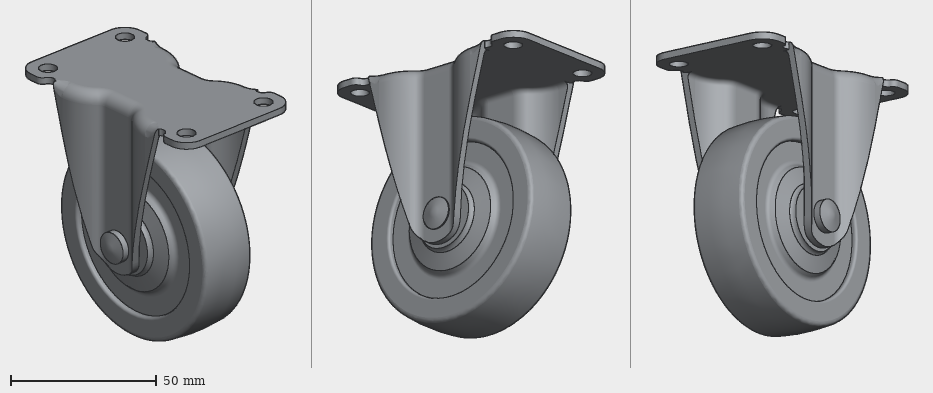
import cadquery as cq
import math


overall_height = 93
wheel_radius = 37.5
sheet = 2.5
axle_radius = 4.0

plate_length = 85.0
plate_width = 51.0
plate_corner_radius = 7.0
hole_radius = 3.3
hole_x = 35.0
hole_y = 18.0
tab_round_radius = 2.5
tab_round_x = 32.5
notch_radius = 2.3
notch_y = 24.5

leg_inner_y = 15.5
leg_outer_y = leg_inner_y + sheet
flat_half_width = 5.8
hollow_radius = 4.1
crest_radius = 17.2
wave_angle = math.radians(45)
leg_top_half_width = 26.0
leg_tip_radius = 10.5

bend_inner_radius = 1.95
bend_radius = bend_inner_radius + sheet
bend_end_radius = 1.5

head_radius = 5.8
head_cone = 1.6
front_head_length = 2.6
rear_head_length = 0.5

tread_edge_radius = 36.7
tread_half_width = 10.8
tread_round = 1.6
rim_radius = 28.1
rim_round = 1.0
web_half_width = 8.7
hub_foot_radius = 21.2
hub_fillet_radius = 1.95
hub_wall_angle = math.radians(57)
shoulder_radius = 18.6
boss_foot_radius = 12.6
boss_foot_half_width = 12.7
boss_radius = 11.6
boss_half_width = 14.7

plate_top = overall_height - wheel_radius
plate_bottom = plate_top - sheet
leg_bottom = -leg_tip_radius
wave_reach = hollow_radius + crest_radius
crest_x = flat_half_width + wave_reach * math.sin(wave_angle)
crest_y = leg_outer_y + wave_reach * (1 - math.cos(wave_angle))
tab_round_y = plate_width / 2 - tab_round_radius
tab_to_notch = tab_round_radius + notch_radius
tab_notch_angle = math.asin((notch_y - tab_round_y) / tab_to_notch)
notch_x = tab_round_x - tab_to_notch * math.cos(tab_notch_angle)
notch_end_y = crest_y - bend_end_radius


def on_circle(center_x, center_y, radius, angle):
    """Point at an angle (radians) on a circle."""
    return (center_x + radius * math.cos(angle), center_y + radius * math.sin(angle))


def leg_wave(inset):
    """Midpoint and end of the hollow arc, then of the crest arc, of a leg face in plan."""
    hollow_y = leg_outer_y + hollow_radius
    hollow = hollow_radius + inset
    crest = crest_radius - inset
    up = math.pi / 2
    hollow_mid = on_circle(flat_half_width, hollow_y, hollow, -up + wave_angle / 2)
    joint = on_circle(flat_half_width, hollow_y, hollow, -up + wave_angle)
    crest_mid = on_circle(crest_x, crest_y - crest_radius, crest, up + wave_angle / 2)
    crest_end = (crest_x, crest_y - inset)
    return hollow_mid, joint, crest_mid, crest_end


def wavy_block(inset, top, edge_radius):
    """Block between two wavy leg faces, with its top edges along them rounded."""
    hollow_mid, joint, crest_mid, crest_end = leg_wave(inset)
    flat_end = (flat_half_width, leg_outer_y - inset)
    quarter = (
        cq.Workplane("XY", origin=(0, 0, leg_bottom))
        .lineTo(0, flat_end[1])
        .lineTo(*flat_end)
        .threePointArc(hollow_mid, joint)
        .threePointArc(crest_mid, crest_end)
        .lineTo(crest_x, 0)
        .close()
        .extrude(top - leg_bottom)
    )
    half = quarter.union(quarter.mirror("YZ"))
    block = half.union(half.mirror("XZ")).clean()
    return block.faces(">Z").edges("not |Y").fillet(edge_radius)


def bend_section(x, edge_radius):
    """Cross section of the bracket's outside at a given X, with rounded shoulders."""
    slant = edge_radius * (1 - math.sqrt(0.5))
    flat_y = crest_y - edge_radius
    side_z = plate_top - edge_radius
    return (
        cq.Workplane("YZ", origin=(x, 0, 0))
        .moveTo(-crest_y, leg_bottom)
        .lineTo(crest_y, leg_bottom)
        .lineTo(crest_y, side_z)
        .threePointArc((crest_y - slant, plate_top - slant), (flat_y, plate_top))
        .lineTo(-flat_y, plate_top)
        .threePointArc((-crest_y + slant, plate_top - slant), (-crest_y, side_z))
        .close()
        .val()
    )


def leg_edges():
    """Flat leg edges at +X, under a bend that tightens outwards."""
    length = leg_top_half_width - crest_x
    sections = []
    for step in (0, 0.5, 1):
        edge_radius = bend_radius - (bend_radius - bend_end_radius) * step ** 2
        sections.append(bend_section(crest_x + step * length, edge_radius))
    outside = cq.Workplane(cq.Solid.makeLoft(sections))
    inside = (
        cq.Workplane("XY", origin=(crest_x, 0, leg_bottom))
        .rect(2 * length, 2 * (crest_y - sheet))
        .extrude(plate_bottom - leg_bottom)
        .edges("|X and >Z")
        .fillet(bend_inner_radius)
    )
    return outside.cut(inside)


def leg_outline():
    """Prism along Y: tapered sides running tangent into the round leg tip."""
    corner_distance = math.hypot(leg_top_half_width, plate_top)
    corner_angle = math.atan2(plate_top, leg_top_half_width)
    tangent_angle = corner_angle - math.acos(leg_tip_radius / corner_distance)
    tangent_x, tangent_z = on_circle(0, 0, leg_tip_radius, tangent_angle)
    return (
        cq.Workplane("XZ")
        .moveTo(-leg_top_half_width, plate_top)
        .lineTo(leg_top_half_width, plate_top)
        .lineTo(tangent_x, tangent_z)
        .threePointArc((0, -leg_tip_radius), (-tangent_x, tangent_z))
        .close()
        .extrude(plate_width / 2, both=True)
    )


def mounting_plate():
    """Flat plate with four rounded tabs and relief notches, waisted between the legs."""
    half_length = plate_length / 2
    half_width = plate_width / 2
    corner_mid = on_circle(
        half_length - plate_corner_radius, half_width - plate_corner_radius,
        plate_corner_radius, math.pi / 4,
    )
    blend = on_circle(tab_round_x, tab_round_y, tab_round_radius, math.pi - tab_notch_angle)
    round_mid = on_circle(
        tab_round_x, tab_round_y, tab_round_radius, 3 * math.pi / 4 - tab_notch_angle / 2
    )
    notch_end_x = notch_x - math.sqrt(notch_radius ** 2 - (notch_y - notch_end_y) ** 2)
    waist_y = leg_outer_y - bend_radius
    quarter = (
        cq.Workplane("XY", origin=(0, 0, plate_bottom))
        .lineTo(half_length, 0)
        .lineTo(half_length, half_width - plate_corner_radius)
        .threePointArc(corner_mid, (half_length - plate_corner_radius, half_width))
        .lineTo(tab_round_x, half_width)
        .threePointArc(round_mid, blend)
        .threePointArc((notch_x, notch_y - notch_radius), (notch_end_x, notch_end_y))
        .lineTo(leg_top_half_width, notch_end_y)
        .lineTo(crest_x, waist_y)
        .lineTo(0, waist_y)
        .close()
        .extrude(sheet)
    )
    half = quarter.union(quarter.mirror("YZ"))
    plate = half.union(half.mirror("XZ"))
    holes = (
        cq.Workplane("XY", origin=(0, 0, plate_bottom))
        .rect(2 * hole_x, 2 * hole_y, forConstruction=True)
        .vertices()
        .circle(hole_radius)
        .extrude(sheet)
    )
    return plate.cut(holes)


def make_bracket():
    outside = wavy_block(0, plate_top, bend_radius)
    inside = wavy_block(sheet, plate_bottom, bend_inner_radius)
    edges = leg_edges()
    legs = outside.cut(inside).union(edges).union(edges.mirror("YZ"))
    axle_hole = cq.Workplane("XZ").circle(axle_radius).extrude(plate_width / 2, both=True)
    return legs.intersect(leg_outline()).union(mounting_plate()).cut(axle_hole)


def tread_ring():
    """Crowned ring around the web, with rounded outer and inner edges."""
    ring = (
        cq.Workplane("XY")
        .moveTo(rim_radius, -tread_half_width)
        .lineTo(tread_edge_radius, -tread_half_width)
        .threePointArc((wheel_radius, 0), (tread_edge_radius, tread_half_width))
        .lineTo(rim_radius, tread_half_width)
        .close()
        .revolve(360, (0, 0), (0, 1))
    )
    outer_edges = cq.selectors.RadiusNthSelector(1)
    inner_edges = cq.selectors.RadiusNthSelector(0)
    ring = ring.faces("<Y or >Y").edges(outer_edges).fillet(tread_round)
    return ring.faces("<Y or >Y").edges(inner_edges).fillet(rim_round)


def hub_half():
    """Web and hub on the +Y side: filleted steep wall, conical shoulder, flared boss."""
    fillet_y = web_half_width + hub_fillet_radius
    down = -math.pi / 2
    fillet_mid = on_circle(
        hub_foot_radius, fillet_y, hub_fillet_radius, down - hub_wall_angle / 2
    )
    fillet_end = on_circle(hub_foot_radius, fillet_y, hub_fillet_radius, down - hub_wall_angle)
    wall_run = fillet_end[0] - shoulder_radius
    shoulder_half_width = fillet_end[1] + wall_run * math.tan(hub_wall_angle)
    flare_width = boss_foot_radius - boss_radius
    flare_height = boss_half_width - boss_foot_half_width
    flare_radius = (flare_width ** 2 + flare_height ** 2) / (2 * flare_width)
    flare_angle = math.asin(flare_height / flare_radius)
    flare_mid = on_circle(
        boss_radius + flare_radius, boss_half_width, flare_radius, math.pi + flare_angle / 2
    )
    return (
        cq.Workplane("XY")
        .moveTo(axle_radius, 0)
        .lineTo(rim_radius, 0)
        .lineTo(rim_radius, web_half_width)
        .lineTo(hub_foot_radius, web_half_width)
        .threePointArc(fillet_mid, fillet_end)
        .lineTo(shoulder_radius, shoulder_half_width)
        .lineTo(boss_foot_radius, boss_foot_half_width)
        .threePointArc(flare_mid, (boss_radius, boss_half_width))
        .lineTo(axle_radius, boss_half_width)
        .close()
        .revolve(360, (0, 0), (0, 1))
    )


def make_wheel():
    half = hub_half()
    return tread_ring().union(half).union(half.mirror("XZ"))


def make_axle():
    """Rivet-like axle: plain shank with a conical head against each leg."""
    front_rim = -leg_outer_y - front_head_length
    rear_rim = leg_outer_y + rear_head_length
    return (
        cq.Workplane("XY")
        .moveTo(0, front_rim - head_cone)
        .lineTo(head_radius, front_rim)
        .lineTo(head_radius, -leg_outer_y)
        .lineTo(axle_radius, -leg_outer_y)
        .lineTo(axle_radius, leg_outer_y)
        .lineTo(head_radius, leg_outer_y)
        .lineTo(head_radius, rear_rim)
        .lineTo(0, rear_rim + head_cone)
        .close()
        .revolve(360, (0, 0), (0, 1))
    )


bracket = make_bracket().solids()
wheel = make_wheel().solids()
axle = make_axle().solids()

result = cq.Compound.makeCompound([bracket.val(), wheel.val(), axle.val()])